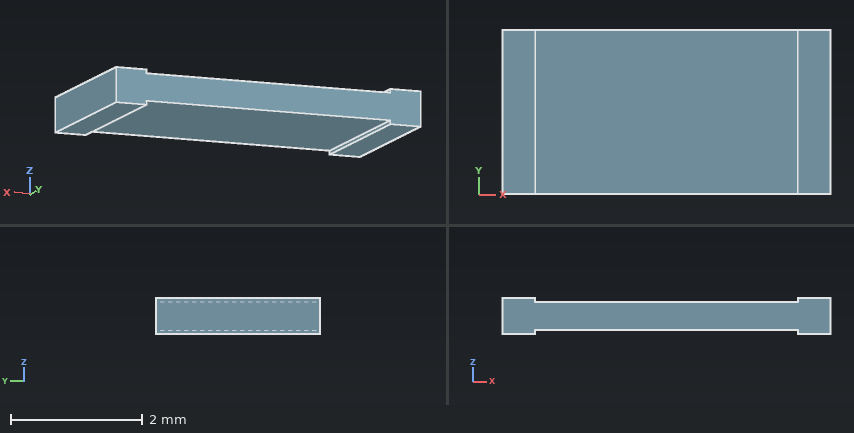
import cadquery as cq

length = 5.0
width = 2.5
height = 0.55

terminal_length = 0.5
terminal_step = 0.06
body_length = length - 2 * terminal_length
body_height = height - 2 * terminal_step

result = cq.Workplane("XY").box(body_length, width, body_height)

terminal_offset = (length - terminal_length) / 2
for side in (-1, 1):
    terminal = cq.Workplane("XY").box(terminal_length, width, height)
    result = result.union(terminal.translate((side * terminal_offset, 0, 0)))